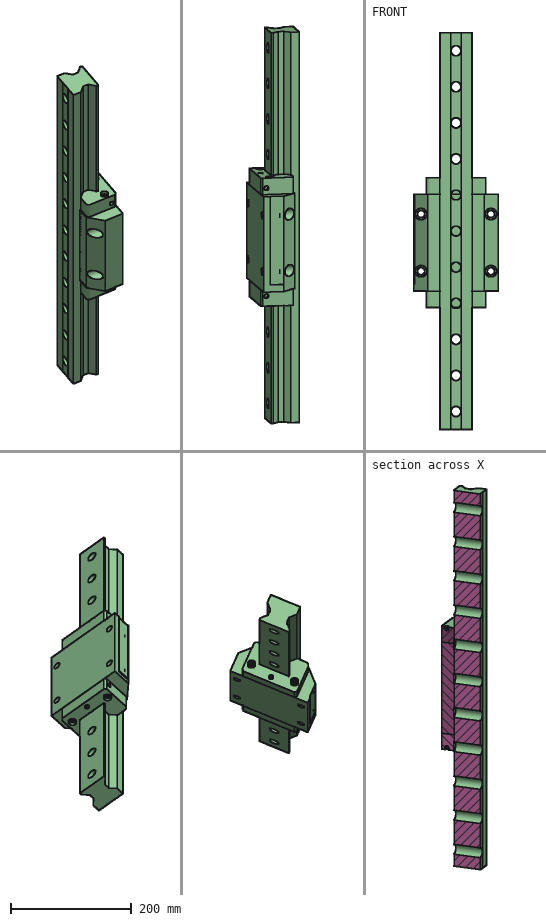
import cadquery as cq

RAIL_LENGTH = 658.0
RAIL_WIDTH = 53.0
RAIL_HEIGHT = 48.0
WAIST_INSET = 10.0
WAIST_BOTTOM = 24.5
WAIST_TOP = 34.0
RAIL_HOLE_COUNT = 11
RAIL_HOLE_PITCH = RAIL_LENGTH / RAIL_HOLE_COUNT
RAIL_HOLE_DIAMETER = 16.5
RELIEF_WIDTH = 18.0
RELIEF_DEPTH = 0.2

BLOCK_WIDTH = 140.0
BLOCK_TOP = 70.0
BLOCK_BOTTOM = 12.5
BLOCK_LENGTH = 160.5
BLOCK_CENTRE_Z = -19.0
FLANGE_BOTTOM = 35.5
BLOCK_HOLE_SPACING_X = 116.0
BLOCK_HOLE_SPACING_Z = 95.0
BLOCK_HOLE_DIAMETER = 12.0
BLOCK_BORE_DIAMETER = 19.0
BLOCK_BORE_FLOOR = 42.0

SIDE_RELIEF_TOP = 58.5
SIDE_RELIEF_DEPTH = 1.0
SIDE_RELIEF_END_WALL = 12.0

CAP_WIDTH = 99.0
CAP_TOP = BLOCK_TOP
CAP_BOTTOM = 14.0
CAP_LENGTH = 27.5
CAP_TOP_CHAMFER = 3.0
CAP_BOTTOM_RADIUS = 6.0
SCREW_SPACING = 77.5
SCREW_Y = 52.5
SCREW_HOLE_STEPS = [(13.0, 6.5), (10.0, 10.0), (4.95, 13.0)]
END_PORT_STEPS = [(7.0, 3.0), (4.2, 6.5)]
END_PORT_Y = 60.5
SIDE_PORT_DIAMETER = 7.0
SIDE_PORT_DEPTH = 6.5
SIDE_PORT_Y = END_PORT_Y
SIDE_PORT_OFFSET = 10.5

BLOCK_Z_MIN = BLOCK_CENTRE_Z - BLOCK_LENGTH / 2
BLOCK_Z_MAX = BLOCK_CENTRE_Z + BLOCK_LENGTH / 2


def rail_outline():
    """Rail cross-section in XY with a 45 degree waist on both sides."""
    half_width = RAIL_WIDTH / 2
    half_waist = half_width - WAIST_INSET
    right_side = [
        (half_width, 0),
        (half_width, WAIST_BOTTOM - WAIST_INSET),
        (half_waist, WAIST_BOTTOM),
        (half_waist, WAIST_TOP),
        (half_width, WAIST_TOP + WAIST_INSET),
        (half_width, RAIL_HEIGHT),
    ]
    left_side = [(-x, y) for x, y in reversed(right_side)]
    return right_side + left_side


def rail_bar(z_min, length):
    return cq.Workplane("XY", origin=(0, 0, z_min)).polyline(rail_outline()).close().extrude(length)


def cylinder_along_y(diameter, x, y_min, y_max, z):
    axis = cq.Vector(0, 1, 0)
    return cq.Solid.makeCylinder(diameter / 2, y_max - y_min, cq.Vector(x, y_min, z), axis)


def make_rail():
    rail = rail_bar(-RAIL_LENGTH / 2, RAIL_LENGTH)
    relief = cq.Workplane("XY").box(RELIEF_WIDTH, 2 * RELIEF_DEPTH, RAIL_LENGTH)
    rail = rail.cut(relief)
    for index in range(RAIL_HOLE_COUNT):
        z = (index - (RAIL_HOLE_COUNT - 1) / 2) * RAIL_HOLE_PITCH
        rail = rail.cut(cylinder_along_y(RAIL_HOLE_DIAMETER, 0, 0, RAIL_HEIGHT, z))
    return rail


def make_block():
    half_width = BLOCK_WIDTH / 2
    half_foot = half_width - (FLANGE_BOTTOM - BLOCK_BOTTOM)
    outline = [
        (-half_width, BLOCK_TOP),
        (-half_width, FLANGE_BOTTOM),
        (-half_foot, BLOCK_BOTTOM),
        (half_foot, BLOCK_BOTTOM),
        (half_width, FLANGE_BOTTOM),
        (half_width, BLOCK_TOP),
    ]
    start = cq.Workplane("XY", origin=(0, 0, BLOCK_Z_MIN))
    block = start.polyline(outline).close().extrude(BLOCK_LENGTH)
    block = block.cut(rail_bar(BLOCK_Z_MIN, BLOCK_LENGTH))

    block = cut_mounting_holes(block)
    return block.cut(side_relief_cutter())


def cut_mounting_holes(block):
    """Four through holes along Y, each counterbored from the sloping side."""
    for x_side in (-1, 1):
        for z_side in (-1, 1):
            x = x_side * BLOCK_HOLE_SPACING_X / 2
            z = BLOCK_CENTRE_Z + z_side * BLOCK_HOLE_SPACING_Z / 2
            block = block.cut(cylinder_along_y(BLOCK_HOLE_DIAMETER, x, 0, BLOCK_TOP, z))
            block = block.cut(cylinder_along_y(BLOCK_BORE_DIAMETER, x, 0, BLOCK_BORE_FLOOR, z))
    return block


def side_relief_cutter():
    """Box for the shallow relief, which ends in a wall near the -Z end of the block."""
    cutter = cq.Workplane("XY").box(
        SIDE_RELIEF_DEPTH,
        SIDE_RELIEF_TOP - FLANGE_BOTTOM,
        BLOCK_LENGTH - SIDE_RELIEF_END_WALL,
        centered=False,
    )
    return cutter.translate((-BLOCK_WIDTH / 2, FLANGE_BOTTOM, BLOCK_Z_MIN + SIDE_RELIEF_END_WALL))


def stepped_hole(steps, mouth, inward):
    """Coaxial cylinders, each narrower and deeper than the one before, fused into one cutter."""
    cutters = [cq.Solid.makeCylinder(d / 2, depth, mouth, inward) for d, depth in steps]
    return cutters[0].fuse(*cutters[1:])


def make_upper_cap():
    """Cap on the +Z end of the block."""
    height = CAP_TOP - CAP_BOTTOM
    start = cq.Workplane("XY", origin=(0, CAP_BOTTOM + height / 2, BLOCK_Z_MAX))
    cap = start.rect(CAP_WIDTH, height).extrude(CAP_LENGTH)
    cap = cap.edges("|Z and >Y").chamfer(CAP_TOP_CHAMFER)
    cap = cap.edges("|Z and <Y").fillet(CAP_BOTTOM_RADIUS)
    cap = cap.cut(rail_bar(BLOCK_Z_MAX, CAP_LENGTH))

    end_z = BLOCK_Z_MAX + CAP_LENGTH
    for side in (-1, 1):
        screw_mouth = cq.Vector(side * SCREW_SPACING / 2, SCREW_Y, end_z)
        cap = cap.cut(stepped_hole(SCREW_HOLE_STEPS, screw_mouth, cq.Vector(0, 0, -1)))
        port_mouth = cq.Vector(side * CAP_WIDTH / 2, SIDE_PORT_Y, BLOCK_Z_MAX + SIDE_PORT_OFFSET)
        port_inward = cq.Vector(-side, 0, 0)
        port = cq.Solid.makeCylinder(SIDE_PORT_DIAMETER / 2, SIDE_PORT_DEPTH, port_mouth, port_inward)
        cap = cap.cut(port)
    end_port_mouth = cq.Vector(0, END_PORT_Y, end_z)
    return cap.cut(stepped_hole(END_PORT_STEPS, end_port_mouth, cq.Vector(0, 0, -1)))


rail = make_rail()
block = make_block()
upper_cap = make_upper_cap()
lower_cap = upper_cap.mirror("XY", (0, 0, BLOCK_CENTRE_Z))

result = cq.Compound.makeCompound([rail.val(), block.val(), upper_cap.val(), lower_cap.val()])